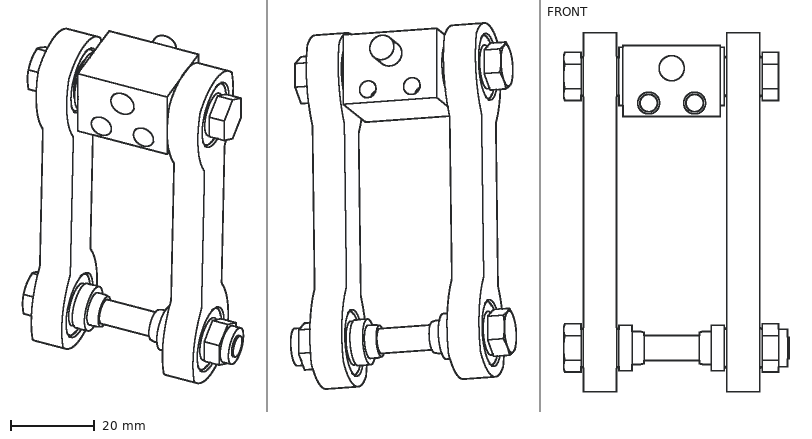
import cadquery as cq
import math


axis_distance = 65.0
axis_offset_y = 2.9
link_thickness = 8.0
link_inner_x = 13.15
shank_half_width = 6.0
eye_tip_height = 10.5
eye_corner_half_width = 9.5
eye_corner_height = 6.4
eye_half_width = 10.6
neck_height = 12.6
neck_fillet = 1.0
eye_corner_fillet = 0.5
hub_diameter = 16.0
hub_chamfer = 0.4
hub_recess = 0.5

ball_diameter = 12.6
ball_projection = 0.5
hex_across_flats = 10.05
hex_thickness = 3.95
head_face_diameter = 10.0
head_extra_thickness = 0.3
head_chamfer_angle = 20.0

rod_diameter = 6.0
collar_diameter = 11.0
collar_inner_x = 9.45
stub_diameter = 8.0
stub_inner_x = 6.6
stub_chamfer_length = 0.95
stub_chamfer_depth = 0.3
thread_diameter = 9.0
thread_length = 2.15
thread_tip_diameter = 5.2
thread_tip_length = 0.4

block_width = 23.4
block_top = 7.5
block_bottom = -9.6
block_front = -7.3
block_back = 11.4
flange_diameter = 14.0
screw_hole_diameter = 4.1
screw_recess_diameter = 5.2
screw_hole_x = 5.5
screw_hole_z = -6.4

pin_diameter = 6.0
pin_height = 2.0
pin_projection = 6.6
pin_dome_height = 0.95
pin_length = 20.0

link_tilt = math.degrees(math.asin(axis_offset_y / axis_distance))
lower_y = -axis_offset_y
lower_z = -math.sqrt(axis_distance ** 2 - axis_offset_y ** 2)
link_outer_x = link_inner_x + link_thickness
flange_outer_x = link_inner_x - ball_projection
hex_inner_x = link_outer_x + ball_projection
hex_outer_x = hex_inner_x + hex_thickness
block_depth = block_back - block_front
screw_recess_depth = block_depth / 2
pin_back = block_back + pin_projection + pin_dome_height
pin_front = pin_back - pin_length


def disc(x_start, x_end, diameter):
    """Cylinder along X on the upper axis."""
    return cq.Workplane("YZ", origin=(x_start, 0, 0)).circle(diameter / 2).extrude(x_end - x_start)


def y_cylinder(x, z, y_start, y_end, diameter):
    """Cylinder along Y."""
    plane = cq.Plane(origin=(x, y_start, z), xDir=(1, 0, 0), normal=(0, 1, 0))
    return cq.Workplane(plane).circle(diameter / 2).extrude(y_end - y_start)


def make_link(x_start):
    """Plate link with two bored eyes, drawn upright and then tilted about the upper axis."""
    shoulder = eye_corner_half_width
    upper_shoulder_z = eye_corner_height
    upper_neck_z = -neck_height
    lower_neck_z = neck_height - axis_distance
    neck_box = cq.selectors.BoxSelector(
        (x_start, -eye_half_width, lower_neck_z - neck_fillet),
        (x_start + link_thickness, eye_half_width, upper_neck_z + neck_fillet),
    )
    lower_shoulder_z = -axis_distance - eye_corner_height
    link = (
        cq.Workplane("YZ", origin=(x_start, 0, 0))
        .moveTo(-shoulder, upper_shoulder_z)
        .threePointArc((0, eye_tip_height), (shoulder, upper_shoulder_z))
        .threePointArc((eye_half_width, 0), (shank_half_width, upper_neck_z))
        .lineTo(shank_half_width, lower_neck_z)
        .threePointArc((eye_half_width, -axis_distance), (shoulder, lower_shoulder_z))
        .threePointArc((0, -axis_distance - eye_tip_height), (-shoulder, lower_shoulder_z))
        .threePointArc((-eye_half_width, -axis_distance), (-shank_half_width, lower_neck_z))
        .lineTo(-shank_half_width, upper_neck_z)
        .threePointArc((-eye_half_width, 0), (-shoulder, upper_shoulder_z))
        .close()
        .extrude(link_thickness)
    )
    link = link.edges("|X").edges("<Y or >Y").fillet(eye_corner_fillet)
    link = link.edges("|X").edges(neck_box).fillet(neck_fillet)
    for eye_z in (0, -axis_distance):
        link = link.cut(disc(x_start, x_start + link_thickness, hub_diameter).translate((0, 0, eye_z)))
    return link.rotate((0, 0, 0), (1, 0, 0), -link_tilt)


def make_hexagon(thickness):
    """Hexagonal prism at the +X end of the axle, with corners up and down."""
    return (
        cq.Workplane("YZ", origin=(hex_inner_x, 0, 0))
        .polygon(6, hex_across_flats, circumscribed=True)
        .extrude(thickness)
    )


def make_bolt_head():
    """Hexagon whose outer corners are turned off by a cone, leaving a round end face."""
    thickness = hex_thickness + head_extra_thickness
    head_end_x = hex_inner_x + thickness
    face_radius = head_face_diameter / 2
    base_radius = face_radius + thickness / math.tan(math.radians(head_chamfer_angle))
    turned_cone = (
        cq.Workplane("XY")
        .moveTo(hex_inner_x, 0)
        .lineTo(hex_inner_x, base_radius)
        .lineTo(head_end_x, face_radius)
        .lineTo(head_end_x, 0)
        .close()
        .revolve(360, (0, 0, 0), (1, 0, 0))
    )
    return make_hexagon(thickness).intersect(turned_cone)


def make_journal():
    """Hub in the +X link eye, with a ball whose flattened sides show on both sides of it."""
    hub = disc(link_inner_x + hub_recess, link_outer_x - hub_recess, hub_diameter)
    ball_radius = ball_diameter / 2
    ball_half_width = link_thickness / 2 + ball_projection
    flat_radius = math.sqrt(ball_radius ** 2 - ball_half_width ** 2)
    ball = (
        cq.Workplane("XY")
        .moveTo(flange_outer_x, 0)
        .lineTo(flange_outer_x, flat_radius)
        .threePointArc((link_inner_x + link_thickness / 2, ball_radius), (hex_inner_x, flat_radius))
        .lineTo(hex_inner_x, 0)
        .close()
        .revolve(360, (0, 0, 0), (1, 0, 0))
    )
    return hub.faces("<X or >X").chamfer(hub_chamfer).union(ball)


def make_axle_ends():
    """Bolt end on the -X side and nut end on the +X side."""
    bolt_end = make_journal().union(make_bolt_head()).mirror("YZ")
    nut_end = make_journal().union(make_hexagon(hex_thickness))
    return bolt_end, nut_end


def make_block():
    """Block with its two side journals, a through hole for the pin and two stepped screw holes."""
    block = cq.Workplane("XY").box(block_width, block_depth, block_top - block_bottom)
    block = block.translate((0, (block_back + block_front) / 2, (block_top + block_bottom) / 2))
    block = block.union(disc(-flange_outer_x, flange_outer_x, flange_diameter))
    for axle_end in make_axle_ends():
        block = block.union(axle_end)
    block = block.cut(y_cylinder(0, pin_height, block_front, block_back, pin_diameter))
    recess_end = block_front + screw_recess_depth
    for x in (-screw_hole_x, screw_hole_x):
        block = block.cut(y_cylinder(x, screw_hole_z, block_front, block_back, screw_hole_diameter))
        block = block.cut(y_cylinder(x, screw_hole_z, block_front, recess_end, screw_recess_diameter))
    return block


def make_lower_axle():
    """Rod with a stub, a collar and an axle end on each side, and a thread end on the +X side."""
    axle = disc(-flange_outer_x, flange_outer_x, rod_diameter)
    collar = disc(collar_inner_x, flange_outer_x, collar_diameter)
    stub = (
        disc(stub_inner_x, collar_inner_x, stub_diameter)
        .faces("<X")
        .chamfer(stub_chamfer_length, stub_chamfer_depth)
    )
    shoulder = collar.union(stub)
    axle = axle.union(shoulder).union(shoulder.mirror("YZ"))
    for axle_end in make_axle_ends():
        axle = axle.union(axle_end)
    thread_end_x = hex_outer_x + thread_length
    axle = axle.union(disc(hex_outer_x, thread_end_x, thread_diameter))
    axle = axle.union(disc(thread_end_x, thread_end_x + thread_tip_length, thread_tip_diameter))
    return axle.translate((0, lower_y, lower_z))


def make_pin():
    """Straight pin with a domed end at both ends, revolved about its own axis."""
    radius = pin_diameter / 2
    dome_radius = (radius ** 2 + pin_dome_height ** 2) / (2 * pin_dome_height)
    mid_radius = radius / 2
    mid_drop = dome_radius - math.sqrt(dome_radius ** 2 - mid_radius ** 2)
    return (
        cq.Workplane("XY")
        .moveTo(0, pin_front)
        .threePointArc((mid_radius, pin_front + mid_drop), (radius, pin_front + pin_dome_height))
        .lineTo(radius, pin_back - pin_dome_height)
        .threePointArc((mid_radius, pin_back - mid_drop), (0, pin_back))
        .close()
        .revolve(360, (0, 0, 0), (0, 1, 0))
        .translate((0, 0, pin_height))
    )


links = [make_link(x_start) for x_start in (-link_outer_x, link_inner_x)]
block = make_block()
lower_axle = make_lower_axle()
pin = make_pin()

result = cq.Compound.makeCompound([link.val() for link in links] + [block.val(), lower_axle.val(), pin.val()])